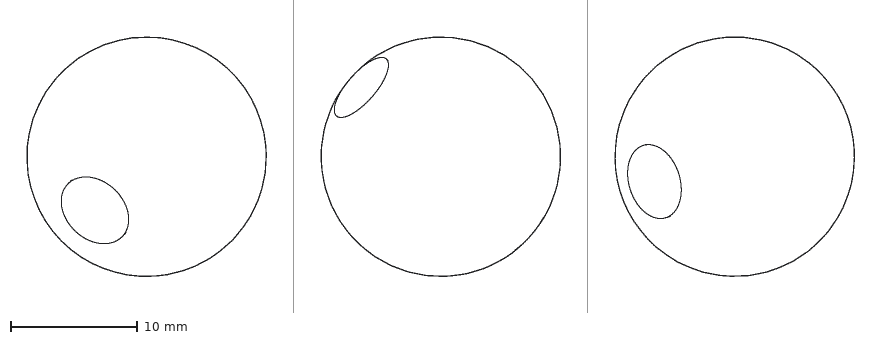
import cadquery as cq
import math

ball_diameter = 19.0
bore_diameter = 6.0

ball_radius = ball_diameter / 2
bore_radius = bore_diameter / 2
half_length = math.sqrt(ball_radius**2 - bore_radius**2)

result = (
    cq.Workplane("XY")
    .moveTo(bore_radius, -half_length)
    .threePointArc((ball_radius, 0), (bore_radius, half_length))
    .close()
    .revolve(360, (0, 0, 0), (0, 1, 0))
)